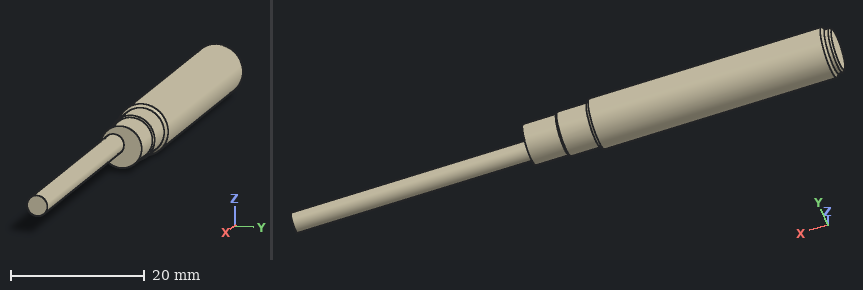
import cadquery as cq

housing_diameter = 8.0
neck_diameter = 7.0
nose_diameter = 7.0
plug_diameter = 6.5
cable_diameter = 3.2

nose_length = 0.95
shoulder_x = 38.7
neck_end_x = 43.65
plug_end_x = 48.9
total_length = 86.6

nose_chamfer = 0.35
shoulder_chamfer = (housing_diameter - neck_diameter) / 2
neck_chamfer = (neck_diameter - plug_diameter) / 2

cable_offset_y = -1.1
cable_offset_z = 0.35


def rod(diameter, start_x, end_x, y=0, z=0):
    """Solid cylinder parallel to X between two stations."""
    return (
        cq.Workplane("YZ", origin=(start_x, y, z))
        .circle(diameter / 2)
        .extrude(end_x - start_x)
    )


def make_nose():
    """Front cap with a chamfered face, seated against the housing."""
    return rod(nose_diameter, 0, nose_length).faces("<X").edges().chamfer(nose_chamfer)


def make_housing():
    """Main barrel with chamfered ends and a reduced neck at the rear."""
    barrel = rod(housing_diameter, nose_length, shoulder_x).edges("%CIRCLE").chamfer(shoulder_chamfer)
    neck = rod(neck_diameter, shoulder_x, neck_end_x).faces(">X").edges().chamfer(neck_chamfer)
    return barrel.union(neck)


def make_plug():
    """Rear plug that closes the neck and carries the cable."""
    return rod(plug_diameter, neck_end_x, plug_end_x)


def make_cable():
    """Straight cable running from the plug's rear face."""
    return rod(cable_diameter, plug_end_x, total_length, cable_offset_y, cable_offset_z)


nose = make_nose()
housing = make_housing()
plug = make_plug()
cable = make_cable()

result = cq.Compound.makeCompound([nose.val(), housing.val(), plug.val(), cable.val()])